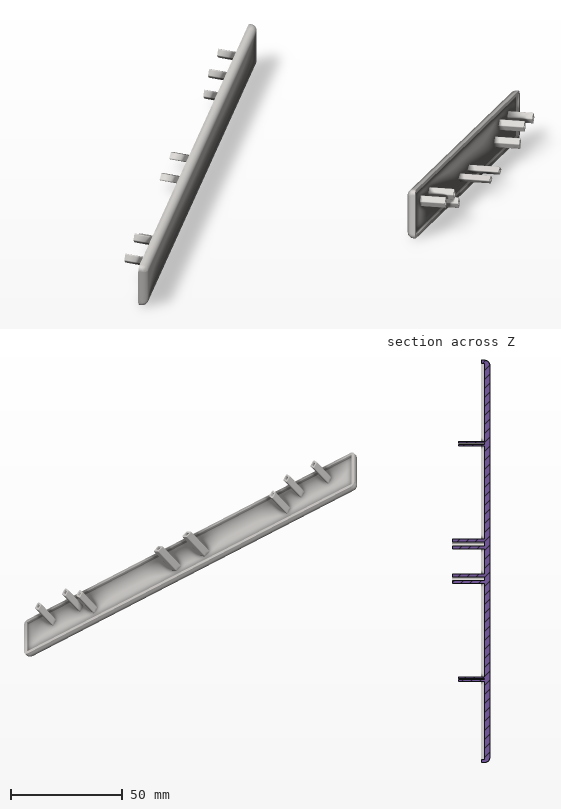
import cadquery as cq

plate_length = 180.0
plate_height = 22.5
plate_thickness = 4.0
corner_radius = 2.2
face_fillet = 2.7

rim_width = 1.6
recess_depth = 1.3

long_diagonal = 5.5
short_diagonal = 3.8
pin_edge_radius = 0.45
bore_ratio = 0.45

upright_pins = [(75.0, 2.7), (60.3, 2.7), (52.5, -3.2)]
sideways_pins = [(7.7, -4.0)]
total_depth = 17.0
upright_pin_setback = 2.7

plate_back = total_depth - plate_thickness
recess_floor = plate_back + recess_depth


def make_plate():
    """Round-cornered plate with a rounded front border and a recessed back."""
    plate = (
        cq.Workplane("YZ", origin=(plate_back, 0, 0))
        .rect(plate_length, plate_height)
        .extrude(plate_thickness)
        .edges("|X")
        .fillet(corner_radius)
        .faces(">X")
        .edges()
        .fillet(face_fillet)
    )
    recess = (
        cq.Workplane("YZ", origin=(plate_back, 0, 0))
        .rect(plate_length - 2 * rim_width, plate_height - 2 * rim_width)
        .extrude(recess_depth)
    )
    return plate.cut(recess)


def diamond_prism(y, z, width, height, tip_x):
    """Sharp diamond prism centred on (y, z), from tip_x to the recess floor."""
    corners = [(width / 2, 0), (0, height / 2), (-width / 2, 0), (0, -height / 2)]
    return (
        cq.Workplane("YZ", origin=(tip_x, y, z))
        .polyline(corners)
        .close()
        .extrude(recess_floor - tip_x)
    )


def make_pin(y, z, width, height, tip_x):
    """Diamond pin with rounded edges and a diamond bore down to the recess floor."""
    body = diamond_prism(y, z, width, height, tip_x).edges("|X").fillet(pin_edge_radius)
    bore = diamond_prism(y, z, width * bore_ratio, height * bore_ratio, tip_x)
    return body.cut(bore)


result = make_plate()
for side in (1, -1):
    for offset, z in upright_pins:
        pin = make_pin(side * offset, z, short_diagonal, long_diagonal, upright_pin_setback)
        result = result.union(pin)
    for offset, z in sideways_pins:
        pin = make_pin(side * offset, z, long_diagonal, short_diagonal, 0)
        result = result.union(pin)